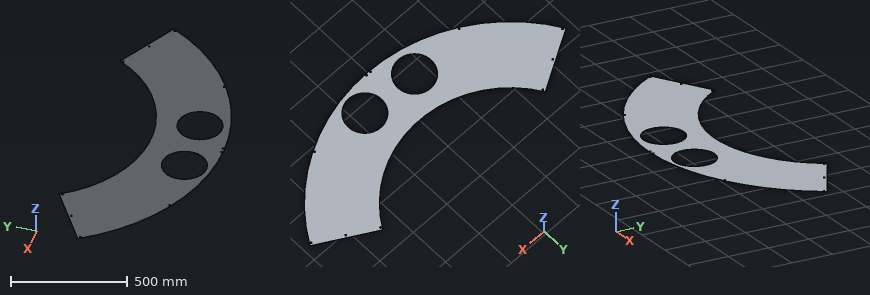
import cadquery as cq
import math

overall_width = 1533.0
half_angle = 60.0
end_setback = 6.0
thickness = 1.47
half_turn = math.radians(half_angle)
outer_end_length = (overall_width / 2 + end_setback * math.cos(half_turn)) / math.sin(half_turn)
outer_radius = math.hypot(outer_end_length, end_setback)
inner_radius = 564.0


def polar(radius, angle):
    """Point at an angle in degrees measured from -Y toward +X."""
    turn = math.radians(angle)
    return (radius * math.sin(turn), -radius * math.cos(turn))


def angle_beside(base_angle, radius, offset):
    """Angle of the point on a circle that lies an offset short of the radial line at base_angle."""
    return base_angle - math.degrees(math.asin(offset / radius))


opening_diameter = 196.0
opening_centers = [(-141.0, -742.0), (145.0, -753.0)]

fixing_diameter = 6.0
rim_inset = 8.0
end_inset = 14.0
middle_offset = 12.0
quarter_angle = 29.4
rim_hole_radius = outer_radius - rim_inset
end_hole_radii = [
    inner_radius + rim_inset,
    (inner_radius + outer_radius) / 2,
    rim_hole_radius,
]


def sector_plate():
    outer_angle = angle_beside(half_angle, outer_radius, end_setback)
    inner_angle = angle_beside(half_angle, inner_radius, end_setback)
    return (
        cq.Workplane("XY")
        .moveTo(*polar(outer_radius, -outer_angle))
        .threePointArc(polar(outer_radius, 0), polar(outer_radius, outer_angle))
        .lineTo(*polar(inner_radius, inner_angle))
        .threePointArc(polar(inner_radius, 0), polar(inner_radius, -inner_angle))
        .close()
        .extrude(thickness)
    )


def fixing_points():
    """Hole centres at the ends, the quarter points and the middle of the outer rim."""
    places = [(radius, angle_beside(half_angle, radius, end_setback + end_inset)) for radius in end_hole_radii]
    places.append((rim_hole_radius, quarter_angle))
    places.append((rim_hole_radius, -angle_beside(0, rim_hole_radius, middle_offset)))
    return [polar(radius, side * angle) for radius, angle in places for side in (-1, 1)]


def through_holes(centers, diameter):
    return cq.Workplane("XY").pushPoints(centers).circle(diameter / 2).extrude(thickness)


result = (
    sector_plate()
    .cut(through_holes(opening_centers, opening_diameter))
    .cut(through_holes(fixing_points(), fixing_diameter))
)